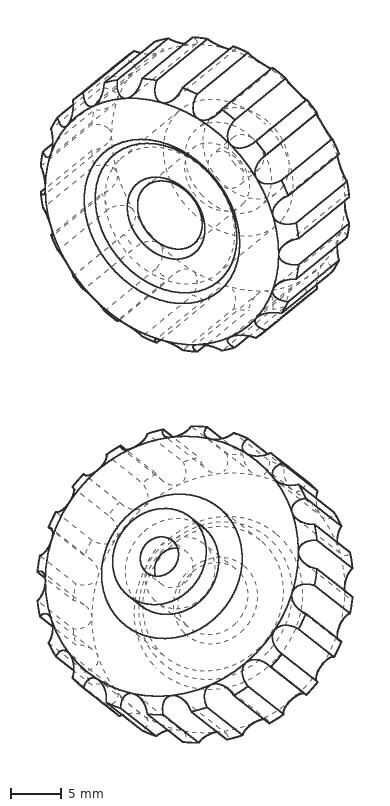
import cadquery as cq
import math

flute_count = 20
flute_radius = 1.5
grip_width = 29.85
grip_radius = (grip_width + math.sqrt(grip_width**2 + 8 * flute_radius**2)) / 4
knob_length = 13.0
rim_chamfer = 1.5

seat_radius = 15.0 / 2
seat_chamfer = 1.5
insert_recess = 0.8

hub_radius = 10.0 / 2
hub_length = 3.5
bore_radius = 7.5 / 2
bore_depth = 10.0
mouth_chamfer = 0.75
pilot_radius = 4.1 / 2


def revolve_about_y(profile):
    """Full turn about the Y axis of a closed (radius, y) outline."""
    return cq.Workplane("XY").polyline(profile).close().revolve(360, (0, 0, 0), (0, 1, 0))


def make_flutes():
    """Scalloping cylinders spaced evenly round the grip circle."""
    return (
        cq.Workplane("XZ")
        .polarArray(grip_radius, 0, 360, flute_count)
        .circle(flute_radius)
        .extrude(-knob_length)
    )


def make_knob():
    """Grip wheel, chamfered at both rims, with a conical-mouthed through bore."""
    wheel = revolve_about_y([
        (seat_radius + seat_chamfer, 0),
        (grip_radius - rim_chamfer, 0),
        (grip_radius, rim_chamfer),
        (grip_radius, knob_length - rim_chamfer),
        (grip_radius - rim_chamfer, knob_length),
        (seat_radius, knob_length),
        (seat_radius, seat_chamfer),
    ])
    return wheel.cut(make_flutes()).solids()


def make_insert():
    """Core seated below the knob face, with a 45-degree cone at the bore bottom."""
    head_radius = seat_radius + seat_chamfer - insert_recess
    hub_end = knob_length + hub_length
    bore_end = insert_recess + bore_depth
    cone_end = bore_end + bore_radius - pilot_radius
    return revolve_about_y([
        (bore_radius + mouth_chamfer, insert_recess),
        (head_radius, insert_recess),
        (seat_radius, seat_chamfer),
        (seat_radius, knob_length),
        (hub_radius, knob_length),
        (hub_radius, hub_end),
        (pilot_radius, hub_end),
        (pilot_radius, cone_end),
        (bore_radius, bore_end),
        (bore_radius, insert_recess + mouth_chamfer),
    ])


knob = make_knob()
insert = make_insert()
result = cq.Compound.makeCompound([knob.val(), insert.val()])